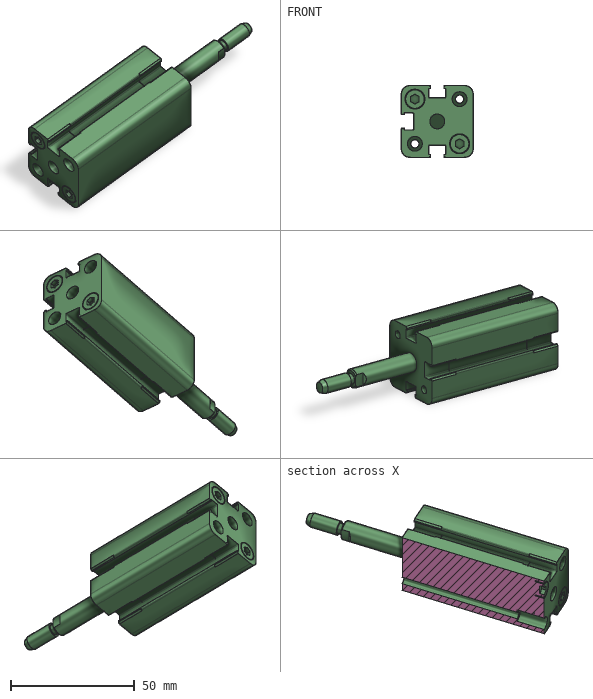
import cadquery as cq


total_length = 108.5
body_width = 29.1
body_length = 62.9
corner_radius = 3.6
cap_length = 12.0
barrel_length = body_length - 2 * cap_length

cap_slot_depth = 5.1
barrel_slot_depth = 4.9
slot_width = 6.8
mouth_width = 5.4
lip_thickness = 1.3
floor_radius = 0.3
cap_mouth_chamfer = 0.7
barrel_mouth_radius = 0.3
slot_angles = (0, 90, 180)

hole_spacing = 18.0
mount_hole_diameter = 3.3
port_diameter = 6.0
port_depth = cap_length
screw_pocket_diameter = 8.0
screw_head_diameter = 7.5
screw_gap_depth = 4.0
socket_diameter = 4.0
socket_sides = 6
socket_depth = 2.0

rod_diameter = 8.0
rod_end = 92.7
rod_chamfer = 0.5
flat_width = 6.0
flat_end = 89.1
neck_diameter = 4.5
neck_length = 2.2
thread_diameter = 6.0
tip_diameter = 4.5
tip_length = 2.1


def end_plane(y):
    """Sketch plane facing +Y at the given Y: local x is -X, local y is Z."""
    return cq.Workplane(cq.Plane(origin=(0, y, 0), xDir=(-1, 0, 0), normal=(0, 1, 0)))


def slot(start, length, depth):
    """T-slot in the top face, with rounded floor corners."""
    top = body_width / 2
    cavity_height = depth - lip_thickness
    cavity = (
        end_plane(start)
        .center(0, top - lip_thickness - cavity_height / 2)
        .rect(slot_width, cavity_height)
        .extrude(length)
        .edges("|Y and <Z")
        .fillet(floor_radius)
    )
    mouth = (
        end_plane(start)
        .center(0, top - lip_thickness / 2)
        .rect(mouth_width, lip_thickness)
        .extrude(length)
    )
    return cavity.union(mouth)


def mouth_edges(start, length):
    """Box selector around the two outer edges of the top slot's mouth."""
    margin = 0.1
    half_width = mouth_width / 2 + margin
    top = body_width / 2
    return cq.selectors.BoxSelector(
        (-half_width, start - margin, top - margin),
        (half_width, start + length + margin, top + margin),
    )


def body_section(start, length, depth, break_mouth):
    """One length of the slotted profile; break_mouth eases the selected slot mouth edges."""
    section = end_plane(start).rect(body_width, body_width).extrude(length)
    section = section.edges("|Y").fillet(corner_radius)
    for angle in slot_angles:
        section = section.rotate((0, 0, 0), (0, 1, 0), angle)
        section = section.cut(slot(start, length, depth))
        section = break_mouth(section.edges("|Y").edges(mouth_edges(start, length)))
        section = section.rotate((0, 0, 0), (0, 1, 0), -angle)
    return section


def cap(start):
    """End cap section, with chamfered slot mouths."""
    return body_section(start, cap_length, cap_slot_depth, lambda edges: edges.chamfer(cap_mouth_chamfer))


def barrel():
    """Middle section, with rounded slot mouths."""
    return body_section(
        cap_length, barrel_length, barrel_slot_depth, lambda edges: edges.fillet(barrel_mouth_radius)
    )


def cylinder(diameter, length):
    """Cylinder along +Y from the plain end, on the centre line."""
    return end_plane(0).circle(diameter / 2).extrude(length)


def mount_hole():
    """Through hole with a wider port at the plain end."""
    return cylinder(mount_hole_diameter, body_length).union(cylinder(port_diameter, port_depth))


def screw_recess():
    """Ring gap around a flush screw head, and its hexagon socket."""
    gap = cylinder(screw_pocket_diameter, screw_gap_depth).cut(cylinder(screw_head_diameter, screw_gap_depth))
    socket = end_plane(0).polygon(socket_sides, socket_diameter).extrude(socket_depth)
    return gap.union(socket.rotate((0, 0, 0), (0, 1, 0), 180 / socket_sides))


def piston_rod():
    """Turned rod with a neck and a threaded stud at its free end."""
    rod_radius = rod_diameter / 2
    thread_radius = thread_diameter / 2
    thread_start = rod_end + neck_length
    rod = (
        cq.Workplane("XY")
        .moveTo(0, body_length)
        .lineTo(rod_radius, body_length)
        .lineTo(rod_radius, rod_end - rod_chamfer)
        .lineTo(rod_radius - rod_chamfer, rod_end)
        .lineTo(neck_diameter / 2, rod_end)
        .lineTo(neck_diameter / 2, thread_start)
        .lineTo(thread_radius, thread_start)
        .lineTo(thread_radius, total_length - tip_length)
        .lineTo(tip_diameter / 2, total_length)
        .lineTo(0, total_length)
        .close()
        .revolve(360, (0, 0, 0), (0, 1, 0))
    )
    return rod.cut(wrench_flat(1)).cut(wrench_flat(-1))


def wrench_flat(side):
    """Material removed for the flat on the +X (1) or -X (-1) side, with a 45 degree run-out."""
    half_flat = flat_width / 2
    run_out = rod_diameter - half_flat
    return (
        cq.Workplane("XY")
        .moveTo(side * half_flat, rod_end)
        .lineTo(side * half_flat, flat_end)
        .lineTo(side * (half_flat + run_out), flat_end - run_out)
        .lineTo(side * (half_flat + run_out), rod_end)
        .close()
        .extrude(rod_diameter / 2, both=True)
    )


result = cap(0).union(barrel()).union(cap(body_length - cap_length)).union(piston_rod())
result = result.cut(cylinder(port_diameter, port_depth))

offset = hole_spacing / 2
for side in (1, -1):
    result = result.cut(mount_hole().translate((side * offset, 0, side * offset)))
    result = result.cut(screw_recess().translate((-side * offset, 0, side * offset)))